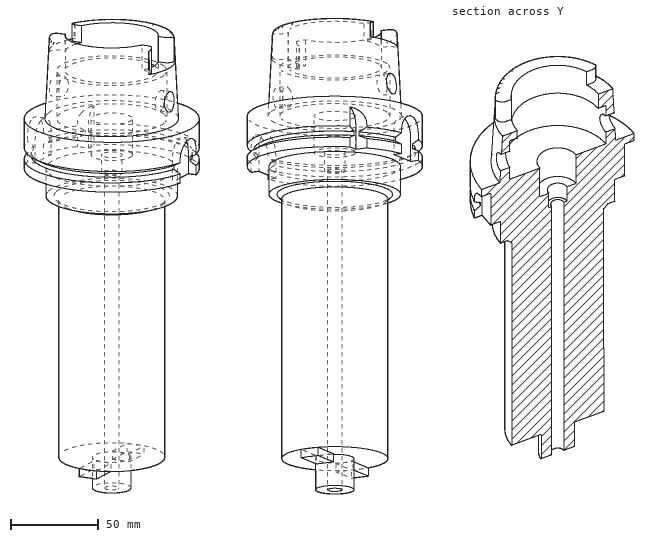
import cadquery as cq
import math


total_length = 268.0
taper_height = 49.3
taper_base_radius = 38.0
taper_slope = 1 / 20
rim_fillet_radius = 2.1

flange_diameter = 100.0
flange_thickness = 29.5
groove_radius = 46.0
groove_center_depth = 20.6
groove_outer_width = 6.7
groove_flank_angle = 30

neck_radius = 37.5
neck_length = 16.3
body_radius = 30.3
body_chamfer = 2.7
pilot_radius = 11.0
pilot_length = 18.2

mouth_radius = 26.5
mouth_depth = 21.0
cavity_radius = 31.4
thread_radius = 11.8
thread_depth = 21.5
seat_radius = 6.0
seat_depth = 10.7
coolant_radius = 4.0

drive_slot_width = 20.0
drive_slot_corner_radius = 4.0
left_drive_slot_depth = 10.0
right_drive_slot_depth = 15.0

cross_hole_radius = 6.0
cross_hole_height = 14.7

flange_slot_width = 19.8
flange_slot_crown_depth = 5.5
flange_slot_floor = 44.0
notch_floor = 31.4
notch_wall = 32.0

key_width = 11.0
key_height = 4.8
key_inner = 11.5
key_outer = 29.7

flange_radius = flange_diameter / 2
top_z = taper_height
bottom_z = taper_height - total_length
body_end_z = bottom_z + pilot_length
neck_end_z = -flange_thickness - neck_length
groove_flank_height = (flange_radius - groove_radius) * math.tan(math.radians(groove_flank_angle))
taper_end_radius = taper_base_radius - taper_slope * taper_height


def revolve_profile(points):
    """Turn a closed (radius, height) outline about the Z axis."""
    return cq.Workplane("XZ").polyline(points).close().revolve(360, (0, 0), (0, 1))


def make_outer_body():
    groove_top = -groove_center_depth + groove_outer_width / 2
    groove_bottom = -groove_center_depth - groove_outer_width / 2
    body = revolve_profile([
        (0, top_z),
        (taper_end_radius, top_z),
        (taper_base_radius, 0),
        (flange_radius, 0),
        (flange_radius, groove_top),
        (groove_radius, groove_top - groove_flank_height),
        (groove_radius, groove_bottom + groove_flank_height),
        (flange_radius, groove_bottom),
        (flange_radius, -flange_thickness),
        (neck_radius, -flange_thickness),
        (neck_radius, neck_end_z),
        (body_radius + body_chamfer, neck_end_z),
        (body_radius, neck_end_z - body_chamfer),
        (body_radius, body_end_z),
        (pilot_radius, body_end_z),
        (pilot_radius, bottom_z),
        (0, bottom_z),
    ])
    return body.faces(">Z").edges().fillet(rim_fillet_radius)


def make_cavity():
    """Mouth, wider clamping chamber below it, and stepped coolant bore."""
    mouth_z = top_z - mouth_depth
    thread_z = -thread_depth
    seat_z = thread_z - seat_depth
    return revolve_profile([
        (0, top_z),
        (mouth_radius, top_z),
        (mouth_radius, mouth_z),
        (cavity_radius, mouth_z),
        (cavity_radius, 0),
        (thread_radius, 0),
        (thread_radius, thread_z),
        (seat_radius, thread_z),
        (seat_radius, seat_z),
        (coolant_radius, seat_z),
        (coolant_radius, bottom_z),
        (0, bottom_z),
    ])


def make_drive_slot(side, depth):
    """Slot through one taper wall, flared so that the ends of the rim are rounded."""
    r = drive_slot_corner_radius
    half = drive_slot_width / 2
    center_y = half + r
    center_x = math.sqrt((taper_end_radius - r) ** 2 - center_y ** 2)
    angle = math.atan2(center_y, center_x)
    touch_x = center_x + r * math.cos(angle)
    touch_y = center_y + r * math.sin(angle)
    mid_angle = (angle - math.pi / 2) / 2
    mid_x = center_x + r * math.cos(mid_angle)
    mid_y = center_y + r * math.sin(mid_angle)
    return (
        cq.Workplane("XY", origin=(0, 0, top_z - depth))
        .moveTo(0, -half)
        .lineTo(side * center_x, -half)
        .threePointArc((side * mid_x, -mid_y), (side * touch_x, -touch_y))
        .lineTo(side * flange_radius, -touch_y)
        .lineTo(side * flange_radius, touch_y)
        .lineTo(side * touch_x, touch_y)
        .threePointArc((side * mid_x, mid_y), (side * center_x, half))
        .lineTo(0, half)
        .close()
        .extrude(depth)
    )


def make_flange_slot(side, floor, center_y):
    """Arched slot open to the flange underside, with a flat floor facing the given X side."""
    radius = flange_slot_width / 2
    arch_z = -flange_slot_crown_depth - radius
    slot_length = flange_radius - floor
    return (
        cq.Workplane("YZ", origin=(side * floor, center_y, 0))
        .moveTo(-radius, -flange_thickness)
        .lineTo(-radius, arch_z)
        .threePointArc((0, -flange_slot_crown_depth), (radius, arch_z))
        .lineTo(radius, -flange_thickness)
        .close()
        .extrude(side * slot_length)
    )


def make_key(side):
    key_length = key_outer - key_inner
    key_center = side * (key_inner + key_outer) / 2
    return (
        cq.Workplane("XY", origin=(0, key_center, body_end_z))
        .rect(key_width, key_length)
        .extrude(-key_height)
    )


cross_hole = (
    cq.Workplane("YZ", origin=(0, 0, cross_hole_height))
    .circle(cross_hole_radius)
    .extrude(flange_radius, both=True)
)

result = make_outer_body().cut(make_cavity()).cut(cross_hole)
result = result.cut(make_drive_slot(-1, left_drive_slot_depth))
result = result.cut(make_drive_slot(1, right_drive_slot_depth))

for side in (-1, 1):
    result = result.cut(make_flange_slot(side, flange_slot_floor, 0))
    result = result.union(make_key(side))

result = result.cut(make_flange_slot(-1, notch_floor, notch_wall + flange_slot_width / 2))